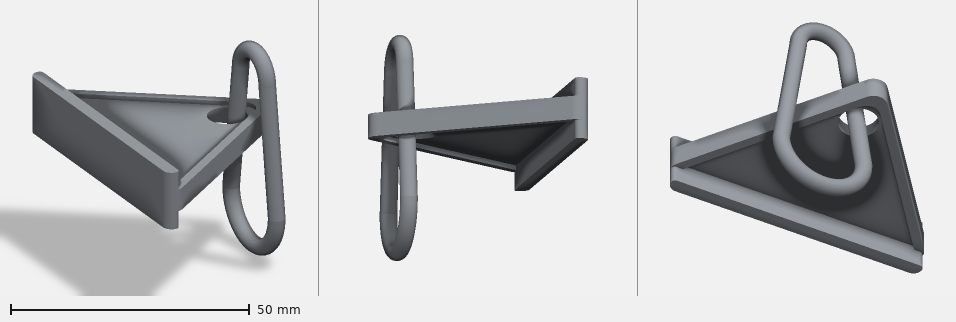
import cadquery as cq
import math


tag_width = 59.0
tag_depth = 40.93
plate_thickness = 5.0
plate_corner_radius = 2.35
plate_apex_radius = 3.0
rim_width = 2.0
pocket_depth = 1.0

bar_width = 58.9
bar_thickness = 3.0
bar_height = 13.0
bar_front_radius = 2.0
bar_back_radius = bar_thickness - bar_front_radius

hole_diameter = 8.6
hole_y = 31.05

wire_diameter = 3.7
link_x = 9.1
link_y = 32.3
link_height = 47.99
link_bottom_z = -26.5
large_bend_radius = 9.65
small_bend_radius = 5.65

wire_radius = wire_diameter / 2
large_bend_z = link_bottom_z + wire_radius + large_bend_radius
small_bend_z = link_bottom_z + link_height - wire_radius - small_bend_radius
leg_rise = small_bend_z - large_bend_z
leg_inset = large_bend_radius - small_bend_radius
leg_length = math.hypot(leg_rise, leg_inset)
leg_tilt = math.atan2(leg_inset, leg_rise)
mitre_stub = wire_radius * math.tan(leg_tilt)
mitre_zone_radius = small_bend_radius - wire_radius

corner_center_x = tag_width / 2 - plate_corner_radius
apex_center_y = tag_depth - plate_apex_radius
center_rise = apex_center_y - plate_corner_radius
center_distance = math.hypot(corner_center_x, center_rise)
half_apex_angle = math.atan2(corner_center_x, center_rise) - math.asin(
    (plate_apex_radius - plate_corner_radius) / center_distance
)
triangle_height = apex_center_y + plate_apex_radius / math.sin(half_apex_angle)


def triangular_prism(base_y, apex_y, bottom_z, height):
    """Prism with a sharp isosceles outline and a rounded apex edge."""
    half_base = (apex_y - base_y) * math.tan(half_apex_angle)
    return (
        cq.Workplane("XY", origin=(0, 0, bottom_z))
        .polyline([(-half_base, base_y), (half_base, base_y), (0, apex_y)])
        .close()
        .extrude(height)
        .edges("|Z and >Y")
        .fillet(plate_apex_radius)
    )


def make_plate():
    plate = triangular_prism(0, triangle_height, -plate_thickness / 2, plate_thickness)
    return plate.edges("|Z and <Y").fillet(plate_corner_radius)


def make_pocket(bottom_z):
    pocket_apex_y = triangle_height - rim_width / math.sin(half_apex_angle)
    return triangular_prism(bar_thickness, pocket_apex_y, bottom_z, pocket_depth)


def make_bar():
    """Edge bar whose rounded ends run from a larger front arc into a smaller back arc."""
    end_x = bar_width / 2
    front_flat_x = end_x - bar_front_radius
    back_flat_x = end_x - bar_back_radius
    return (
        cq.Workplane("XY", origin=(0, 0, -bar_height / 2))
        .moveTo(-front_flat_x, 0)
        .lineTo(front_flat_x, 0)
        .radiusArc((end_x, bar_front_radius), -bar_front_radius)
        .radiusArc((back_flat_x, bar_thickness), -bar_back_radius)
        .lineTo(-back_flat_x, bar_thickness)
        .radiusArc((-end_x, bar_front_radius), -bar_back_radius)
        .radiusArc((-front_flat_x, 0), -bar_front_radius)
        .close()
        .extrude(bar_height)
    )


def make_tag():
    hole = (
        cq.Workplane("XY", origin=(0, hole_y, -plate_thickness / 2))
        .circle(hole_diameter / 2)
        .extrude(plate_thickness)
    )
    plate = make_plate().cut(hole)
    for pocket_bottom_z in (-plate_thickness / 2, plate_thickness / 2 - pocket_depth):
        plate = plate.cut(make_pocket(pocket_bottom_z))
    return plate.union(make_bar())


def make_bend(bend_radius, bend_z, outward):
    """Half-circle bend opening towards the legs, with a short straight stub at each end.

    outward is +1 for a bend that bulges upwards and -1 for one that bulges downwards.
    """
    stub_z = bend_z - outward * mitre_stub
    path = (
        cq.Workplane("XZ", origin=(link_x, link_y, 0))
        .moveTo(-bend_radius, stub_z)
        .lineTo(-bend_radius, bend_z)
        .threePointArc((0, bend_z + outward * bend_radius), (bend_radius, bend_z))
        .lineTo(bend_radius, stub_z)
    )
    return (
        cq.Workplane("XY", origin=(link_x - bend_radius, link_y, stub_z))
        .circle(wire_radius)
        .sweep(path)
    )


def leg_cylinder(side, radius, tilt, length):
    """Cylinder centred on the middle of one leg, its top tilted inwards from vertical."""
    axis = cq.Vector(-side * math.sin(tilt), 0, math.cos(tilt))
    middle = cq.Vector(
        link_x + side * (large_bend_radius + small_bend_radius) / 2,
        link_y,
        (large_bend_z + small_bend_z) / 2,
    )
    return cq.Workplane(cq.Solid.makeCylinder(radius, length, middle - axis * (length / 2), axis))


def make_link():
    """Two half-circle bends joined by straight legs, mitred where leg and bend meet."""
    link = make_bend(large_bend_radius, large_bend_z, -1)
    link = link.add(make_bend(small_bend_radius, small_bend_z, 1)).combine()
    mitre_tilt = leg_tilt / 2
    mitre_spacing = leg_length * math.cos(mitre_tilt)
    for side in (-1, 1):
        mitre_zone = leg_cylinder(side, mitre_zone_radius, mitre_tilt, mitre_spacing)
        leg = leg_cylinder(side, wire_radius, leg_tilt, leg_length + 2 * mitre_stub)
        link = link.cut(mitre_zone).union(leg.intersect(mitre_zone))
    return link


tag = make_tag()
link = make_link()

result = cq.Compound.makeCompound([tag.solids().val(), link.solids().val()])